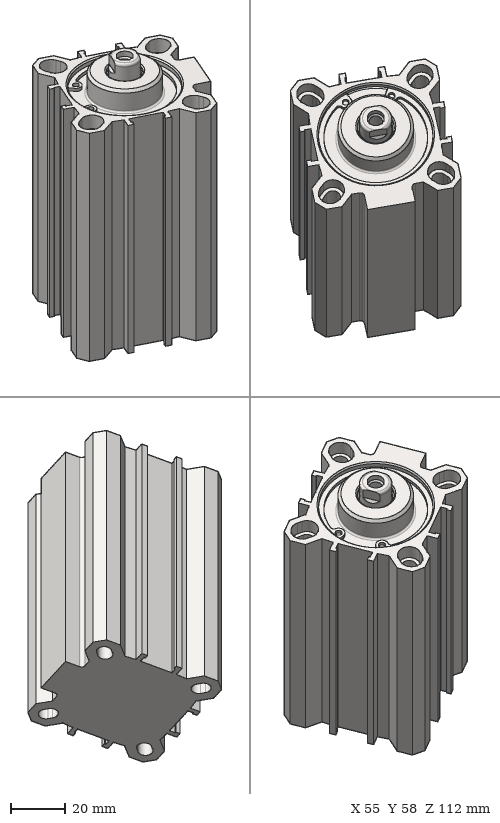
import cadquery as cq
import math

QUARTER_TURNS = (0, 90, 180, 270)
RIBBED_WALL_TURNS = (0, 90, 270)

TOTAL_HEIGHT = 112.0
BODY_HEIGHT = 99.6
BOSS_TOP = 105.6

CORNER_REACH = 27.5
CORNER_FLAT_OUTER = 23.9
CORNER_FLAT_INNER = 17.9
WALL_REACH = 23.1
WALL_RELIEF = 0.3
RIB_REACH = 27.2
RIB_OUTER = 8.6
RIB_STEM_INNER = 6.7
RIB_FOOT_INNER = 6.2
RIB_FOOT_START = 25.4
PAD_REACH = 30.52
PAD_HALF_WIDTH = 9.0
PAD_ROOT_FILLET = 1.6

MOUNT_OFFSET = 20.6
MOUNT_STRETCH = 1.8
MOUNT_DIRECTION = 45
MOUNT_HOLE_DIAMETER = 5.6
MOUNT_BORE_DIAMETER = 8.5
MOUNT_BORE_DEPTH = 5.9

RECESS_DIAMETER = 42.2
RECESS_RIM_DIAMETER = 43.3
RING_DIAMETER = 44.7
RING_TOP_DEPTH = 2.2
RING_THICKNESS = 1.3

RING_INNER_DIAMETER = 38.3
RING_TURN = -1.5
LUG_RADIUS = 2.4
LUG_HOLE_DIAMETER = 2.5
LUG_CENTER_RADIUS = 18.31
LUG_HALF_ANGLE = 27.9
LUG_FILLET = 1.3

FLANGE_THICKNESS = 5.6
BOSS_DIAMETER = 27.9
BOSS_CHAMFER = 1.1
BOSS_ROOT_FILLET = 0.8
COVER_MOUTH_DIAMETER = 14.8
COVER_POCKET_DIAMETER = 13.7
COVER_POCKET_DEPTH = 1.7
COVER_STEP_DIAMETER = 12.5
COVER_STEP_DEPTH = 2.8

ROD_DIAMETER = 12.0
ROD_FILLET = 1.1
ROD_ACROSS_FLATS = 10.0
ROD_FLAT_LENGTH = 4.5
ROD_BORE_DIAMETER = 6.3
ROD_BORE_DEPTH = 2.9
ROD_HOLE_DIAMETER = 4.9
ROD_HOLE_DEPTH = 11.2
DRILL_POINT_ANGLE = 150

RING_TOP = BODY_HEIGHT - RING_TOP_DEPTH
FLANGE_TOP = RING_TOP - RING_THICKNESS
RECESS_FLOOR = FLANGE_TOP - FLANGE_THICKNESS

VALLEY = CORNER_FLAT_INNER - (CORNER_REACH - WALL_REACH)


def cylinder(diameter, bottom, top):
    return cq.Workplane("XY").workplane(offset=bottom).circle(diameter / 2).extrude(top - bottom)


def turned(shape, angle):
    """The shape turned about the Z axis, counterclockwise from above."""
    return shape.rotate((0, 0, 0), (0, 0, 1), angle)


def prism(outline):
    """Outline in the XY plane, extruded over the full height of the body."""
    return cq.Workplane("XY").polyline(outline).close().extrude(BODY_HEIGHT)


def revolved(outline):
    """Outline of (radius, height) points, turned about the Z axis into a solid."""
    return cq.Workplane("XZ").polyline(outline).close().revolve(360, (0, 0, 0), (0, 1, 0))


def make_core():
    """Square column with an octagonal post on each corner."""
    quarter = [
        (VALLEY, WALL_REACH),
        (CORNER_FLAT_INNER, CORNER_REACH),
        (CORNER_FLAT_OUTER, CORNER_REACH),
        (CORNER_REACH, CORNER_FLAT_OUTER),
        (CORNER_REACH, CORNER_FLAT_INNER),
        (WALL_REACH, VALLEY),
    ]
    outline = []
    for _ in QUARTER_TURNS:
        outline.extend(quarter)
        quarter = [(y, -x) for x, y in quarter]
    return prism(outline)


def make_rib():
    """Hooked rib on the +X side of the -Y wall, with its foot turned toward the middle."""
    outline = [
        (RIB_OUTER, -WALL_REACH),
        (RIB_OUTER, -RIB_REACH),
        (RIB_FOOT_INNER, -RIB_REACH),
        (RIB_FOOT_INNER, -RIB_FOOT_START),
        (RIB_STEM_INNER, -RIB_FOOT_START),
        (RIB_STEM_INNER, -WALL_REACH),
    ]
    return prism(outline)


def make_relief():
    """Shallow relief in the -Y wall, from nothing at the rib to its full depth at the +X corner post."""
    outline = [
        (VALLEY, -WALL_REACH),
        (VALLEY - WALL_RELIEF, -WALL_REACH + WALL_RELIEF),
        (RIB_OUTER, -WALL_REACH),
    ]
    return prism(outline)


def make_pad():
    """Full-height pad on the +Y wall, with rounded roots."""
    root = PAD_HALF_WIDTH + PAD_ROOT_FILLET
    shoulder = WALL_REACH + PAD_ROOT_FILLET
    return (
        cq.Workplane("XY")
        .moveTo(-root, WALL_REACH)
        .radiusArc((-PAD_HALF_WIDTH, shoulder), -PAD_ROOT_FILLET)
        .lineTo(-PAD_HALF_WIDTH, PAD_REACH)
        .lineTo(PAD_HALF_WIDTH, PAD_REACH)
        .lineTo(PAD_HALF_WIDTH, shoulder)
        .radiusArc((root, WALL_REACH), -PAD_ROOT_FILLET)
        .close()
        .extrude(BODY_HEIGHT)
    )


def make_mount_hole():
    """Counterbored slot in the +X +Y corner, stretched along the diagonal."""

    def slot(diameter, bottom):
        return (
            cq.Workplane("XY")
            .workplane(offset=bottom)
            .center(MOUNT_OFFSET, MOUNT_OFFSET)
            .slot2D(diameter + MOUNT_STRETCH, diameter, MOUNT_DIRECTION)
            .extrude(BODY_HEIGHT - bottom)
        )

    counterbore = slot(MOUNT_BORE_DIAMETER, BODY_HEIGHT - MOUNT_BORE_DEPTH)
    return slot(MOUNT_HOLE_DIAMETER, 0).union(counterbore)


def make_recess():
    """Seat for the cover, with the groove for the retaining ring and a chamfered rim."""
    rim_chamfer = (RECESS_RIM_DIAMETER - RECESS_DIAMETER) / 2
    return revolved([
        (0, RECESS_FLOOR),
        (RECESS_DIAMETER / 2, RECESS_FLOOR),
        (RECESS_DIAMETER / 2, FLANGE_TOP),
        (RING_DIAMETER / 2, FLANGE_TOP),
        (RING_DIAMETER / 2, RING_TOP),
        (RECESS_DIAMETER / 2, RING_TOP),
        (RECESS_DIAMETER / 2, BODY_HEIGHT - rim_chamfer),
        (RECESS_RIM_DIAMETER / 2, BODY_HEIGHT),
        (0, BODY_HEIGHT),
    ])


def make_body():
    body = make_core()
    ribs = make_rib().union(make_rib().mirror("YZ"))
    reliefs = make_relief().union(make_relief().mirror("YZ"))
    for turn in RIBBED_WALL_TURNS:
        body = body.union(turned(ribs, turn)).cut(turned(reliefs, turn))
    body = body.union(make_pad())
    for turn in QUARTER_TURNS:
        body = body.cut(turned(make_mount_hole(), turn))
    return body.cut(make_recess())


def make_lug():
    """Round lug on the -Y side, joined to the outer edge of the ring by a straight neck."""
    plane = cq.Workplane("XY").workplane(offset=FLANGE_TOP).center(0, -LUG_CENTER_RADIUS)
    neck_length = RING_DIAMETER / 2 - LUG_CENTER_RADIUS
    neck = plane.center(0, -neck_length / 2).rect(2 * LUG_RADIUS, neck_length).extrude(RING_THICKNESS)
    lug = plane.circle(LUG_RADIUS).extrude(RING_THICKNESS).union(neck)
    return lug.intersect(cylinder(RING_DIAMETER, FLANGE_TOP, RING_TOP))


def make_retaining_ring():
    """Open ring with its gap toward -Y and a pierced lug at each end of the gap."""
    plane = cq.Workplane("XY").workplane(offset=FLANGE_TOP)
    ring = plane.circle(RING_DIAMETER / 2).circle(RING_INNER_DIAMETER / 2).extrude(RING_THICKNESS)
    gap_half_width = RING_DIAMETER * math.tan(math.radians(LUG_HALF_ANGLE))
    gap_outline = [(0, 0), (gap_half_width, -RING_DIAMETER), (-gap_half_width, -RING_DIAMETER)]
    ring = ring.cut(plane.polyline(gap_outline).close().extrude(RING_THICKNESS))
    for angle in (LUG_HALF_ANGLE, -LUG_HALF_ANGLE):
        ring = ring.union(turned(make_lug(), angle))

    inner_radius = RING_INNER_DIAMETER / 2
    corner_angle = math.radians(LUG_HALF_ANGLE) + math.asin(LUG_RADIUS / inner_radius)
    corner_x = inner_radius * math.sin(corner_angle)
    corner_y = -inner_radius * math.cos(corner_angle)
    for x in (corner_x, -corner_x):
        corner = cq.selectors.NearestToPointSelector((x, corner_y, FLANGE_TOP + RING_THICKNESS / 2))
        ring = ring.edges("|Z").edges(corner).fillet(LUG_FILLET)

    hole = plane.center(0, -LUG_CENTER_RADIUS).circle(LUG_HOLE_DIAMETER / 2).extrude(RING_THICKNESS)
    for angle in (LUG_HALF_ANGLE, -LUG_HALF_ANGLE):
        ring = ring.cut(turned(hole, angle))
    return turned(ring, RING_TURN)


def make_cover():
    """Flange under the retaining ring and a boss, with a stepped mouth around the rod."""
    boss_radius = BOSS_DIAMETER / 2
    rod_radius = ROD_DIAMETER / 2
    mouth = (COVER_MOUTH_DIAMETER - COVER_POCKET_DIAMETER) / 2
    return (
        cq.Workplane("XZ")
        .moveTo(rod_radius, RECESS_FLOOR)
        .lineTo(RECESS_DIAMETER / 2, RECESS_FLOOR)
        .lineTo(RECESS_DIAMETER / 2, FLANGE_TOP)
        .lineTo(boss_radius + BOSS_ROOT_FILLET, FLANGE_TOP)
        .radiusArc((boss_radius, FLANGE_TOP + BOSS_ROOT_FILLET), BOSS_ROOT_FILLET)
        .lineTo(boss_radius, BOSS_TOP - BOSS_CHAMFER)
        .lineTo(boss_radius - BOSS_CHAMFER, BOSS_TOP)
        .lineTo(COVER_MOUTH_DIAMETER / 2, BOSS_TOP)
        .lineTo(COVER_POCKET_DIAMETER / 2, BOSS_TOP - mouth)
        .lineTo(COVER_POCKET_DIAMETER / 2, BOSS_TOP - COVER_POCKET_DEPTH)
        .lineTo(COVER_STEP_DIAMETER / 2, BOSS_TOP - COVER_POCKET_DEPTH)
        .lineTo(COVER_STEP_DIAMETER / 2, BOSS_TOP - COVER_STEP_DEPTH)
        .lineTo(rod_radius, BOSS_TOP - COVER_STEP_DEPTH)
        .close()
        .revolve(360, (0, 0, 0), (0, 1, 0))
    )


def make_flat_cut():
    """Wrench flat on the +Y side of the rod, running out at 45 degrees below."""
    near = ROD_ACROSS_FLATS / 2
    far = ROD_DIAMETER / 2
    bottom = TOTAL_HEIGHT - ROD_FLAT_LENGTH
    outline = [(near, TOTAL_HEIGHT), (near, bottom), (far, bottom - (far - near)), (far, TOTAL_HEIGHT)]
    return cq.Workplane("YZ").polyline(outline).close().extrude(ROD_DIAMETER / 2, both=True)


def make_rod_hole():
    """Counterbored hole in the rod end, with a conical seat and a drill point."""
    bore_radius = ROD_BORE_DIAMETER / 2
    hole_radius = ROD_HOLE_DIAMETER / 2
    seat_bottom = TOTAL_HEIGHT - ROD_BORE_DEPTH
    hole_bottom = TOTAL_HEIGHT - ROD_HOLE_DEPTH
    point_depth = hole_radius / math.tan(math.radians(DRILL_POINT_ANGLE / 2))
    return revolved([
        (0, TOTAL_HEIGHT),
        (bore_radius, TOTAL_HEIGHT),
        (bore_radius, seat_bottom + (bore_radius - hole_radius)),
        (hole_radius, seat_bottom),
        (hole_radius, hole_bottom),
        (0, hole_bottom - point_depth),
    ])


def make_rod():
    rod = cylinder(ROD_DIAMETER, RECESS_FLOOR, TOTAL_HEIGHT).faces(">Z").edges().fillet(ROD_FILLET)
    for flat in (make_flat_cut(), make_flat_cut().mirror("XZ")):
        rod = rod.cut(flat)
    return rod.cut(make_rod_hole())


body = make_body()
retaining_ring = make_retaining_ring()
cover = make_cover()
rod = make_rod()

result = cq.Compound.makeCompound([body.val(), retaining_ring.val(), cover.val(), rod.val()])